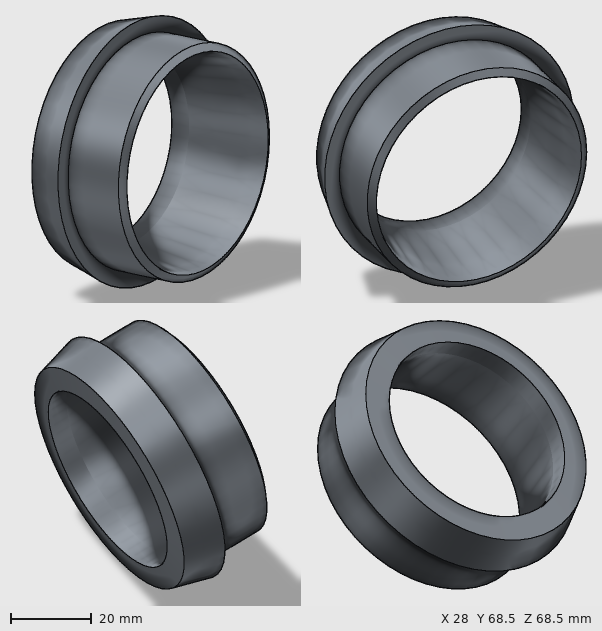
import cadquery as cq
import math

total_length = 28.0
collar_length = 11.0

collar_diameter = 68.5
collar_front_diameter = 62.9
spigot_diameter = 60.3
tip_diameter = 56.3
bore_diameter = 50.0
rim_width = 0.5

face_angle = 5.0
tip_bevel_angle = 30.0
bore_taper_angle = 8.0


def tan_degrees(angle):
    return math.tan(math.radians(angle))


collar_radius = collar_diameter / 2
collar_front_radius = collar_front_diameter / 2
spigot_radius = spigot_diameter / 2
tip_radius = tip_diameter / 2
bore_radius = bore_diameter / 2
rim_radius = bore_radius + rim_width

face_end = (collar_front_radius - rim_radius) * tan_degrees(face_angle)
bevel_start = total_length - (spigot_radius - tip_radius) * tan_degrees(tip_bevel_angle)
taper_start = total_length - (tip_radius - bore_radius) / tan_degrees(bore_taper_angle)


def ring_profile():
    """Half section of the ring: axial position along X, radius along Y."""
    return (
        cq.Workplane("XY")
        .moveTo(0, bore_radius)
        .lineTo(0, rim_radius)
        .lineTo(face_end, collar_front_radius)
        .lineTo(collar_length, collar_radius)
        .lineTo(collar_length, spigot_radius)
        .lineTo(bevel_start, spigot_radius)
        .lineTo(total_length, tip_radius)
        .lineTo(taper_start, bore_radius)
        .close()
    )


result = ring_profile().revolve(360, (0, 0, 0), (1, 0, 0))